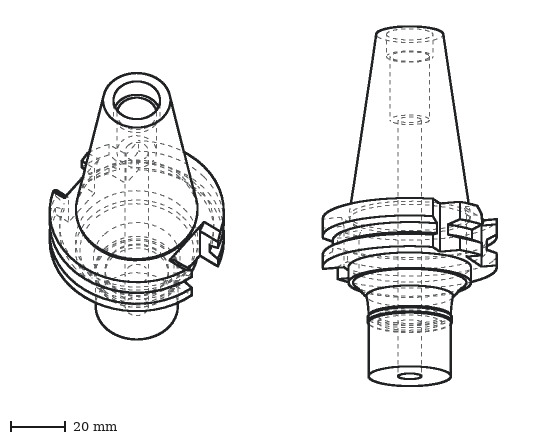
import cadquery as cq

total_length = 128.4
through_bore_radius = 4.2

sleeve_radius = 15.0
sleeve_length = 20.2
ring_radius = 15.4
ring_thickness = 1.9
ring_chamfer = ring_radius - sleeve_radius
ring_top = sleeve_length + ring_thickness

neck_radius = 11.5
neck_gap = 0.6
nose_bottom = ring_top + neck_gap
nose_top = 30.2
nose_bottom_radius = sleeve_radius
nose_top_radius = 15.8
nose_bow = 0.15
shoulder_large_radius = 20.7
shoulder_top = 35.2
collar_radius = 22.3

flange_diameter = 63.5
flange_radius = flange_diameter / 2
flange_bottom = 41.0
flange_top = 59.0
groove_floor_radius = 28.1
groove_floor_height = 3.7
groove_mouth_height = 6.9
groove_mid = 49.0

slot_width = 16.0
slot_chamfer = 2.7
left_slot_floor = 24.9
right_slot_floor = 22.6
notch_x = 18.2
notch_y = 18.4

relief_radius = 22.0
taper_bottom = 60.2
taper_large_radius = 22.2
taper_ratio = 7 / 24
taper_small_radius = taper_large_radius - (total_length - taper_bottom) * taper_ratio / 2

socket_radius = 8.5
socket_depth = 8.3
thread_radius = 7.2
thread_bottom_depth = 32.1


def make_cylinder(radius, bottom, top):
    return cq.Workplane("XY").workplane(offset=bottom).circle(radius).extrude(top - bottom)


def make_holder_blank():
    """Outer turned shape of the holder, revolved about Z."""
    nose_mid = (
        (nose_bottom_radius + nose_top_radius) / 2 - nose_bow,
        (nose_bottom + nose_top) / 2,
    )
    profile = (
        cq.Workplane("XZ")
        .moveTo(0, sleeve_length)
        .lineTo(neck_radius, sleeve_length)
        .lineTo(neck_radius, nose_bottom)
        .lineTo(nose_bottom_radius, nose_bottom)
        .threePointArc(nose_mid, (nose_top_radius, nose_top))
        .lineTo(shoulder_large_radius, shoulder_top)
        .lineTo(collar_radius, shoulder_top)
        .lineTo(collar_radius, flange_bottom)
        .lineTo(flange_radius, flange_bottom)
        .lineTo(flange_radius, groove_mid - groove_mouth_height / 2)
        .lineTo(groove_floor_radius, groove_mid - groove_floor_height / 2)
        .lineTo(groove_floor_radius, groove_mid + groove_floor_height / 2)
        .lineTo(flange_radius, groove_mid + groove_mouth_height / 2)
        .lineTo(flange_radius, flange_top)
        .lineTo(relief_radius, flange_top)
        .lineTo(taper_large_radius, taper_bottom)
        .lineTo(taper_small_radius, total_length)
        .lineTo(0, total_length)
        .close()
    )
    return profile.revolve(360, (0, 0, 0), (0, 1, 0))


def make_drive_slot(floor_distance, side):
    """Cutter for a drive slot with a chamfered mouth; side is -1 for -X and +1 for +X."""
    half_width = slot_width / 2
    half_mouth = half_width + slot_chamfer
    chamfer_bottom = flange_top - slot_chamfer
    return (
        cq.Workplane("YZ", origin=(side * floor_distance, 0, 0))
        .polyline([
            (-half_width, flange_bottom),
            (half_width, flange_bottom),
            (half_width, chamfer_bottom),
            (half_mouth, flange_top),
            (-half_mouth, flange_top),
            (-half_width, chamfer_bottom),
        ])
        .close()
        .extrude(side * flange_radius)
    )


def make_orientation_notch():
    """Square-cornered cutter that removes the -X, +Y part of the flange rim."""
    return (
        cq.Workplane("XY", origin=(-notch_x, notch_y, flange_bottom))
        .rect(-flange_radius, flange_radius, centered=False)
        .extrude(flange_top - flange_bottom)
    )


def make_holder():
    socket_floor = total_length - socket_depth
    thread_floor = total_length - thread_bottom_depth
    return (
        make_holder_blank()
        .cut(make_drive_slot(left_slot_floor, -1))
        .cut(make_drive_slot(right_slot_floor, 1))
        .cut(make_orientation_notch())
        .cut(make_cylinder(socket_radius, socket_floor, total_length))
        .cut(make_cylinder(thread_radius, thread_floor, total_length))
        .cut(make_cylinder(through_bore_radius, sleeve_length, total_length))
    )


def make_ring():
    """Thrust ring around the holder neck, chamfered where it meets the sleeve."""
    return (
        make_cylinder(ring_radius, sleeve_length, ring_top)
        .faces("<Z")
        .chamfer(ring_chamfer)
        .cut(make_cylinder(neck_radius, sleeve_length, ring_top))
    )


def make_sleeve():
    return make_cylinder(sleeve_radius, 0, sleeve_length).cut(
        make_cylinder(through_bore_radius, 0, sleeve_length)
    )


holder = make_holder()
ring = make_ring()
sleeve = make_sleeve()

result = cq.Compound.makeCompound([holder.val(), ring.val(), sleeve.val()])